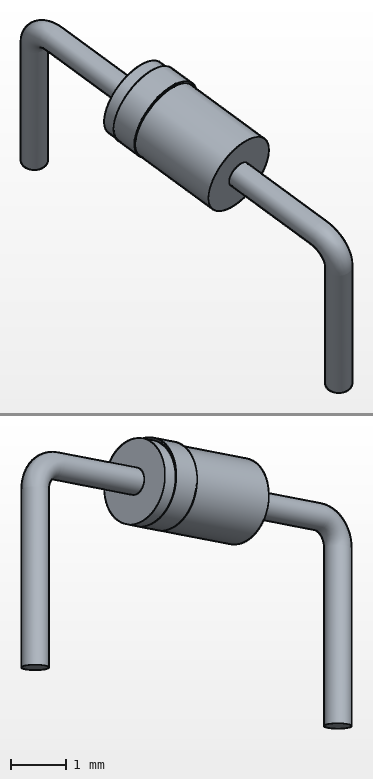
import cadquery as cq

overall_length = 8.12
overall_height = 4.63
lead_diameter = 0.5
bend_radius = lead_diameter
body_diameter = 1.58
body_length = 2.615
band_diameter = 1.63
band_width = 0.2 * body_length
band_inset = 0.1 * body_length
band_lift = (band_diameter - body_diameter) / 2

lead_x = (overall_length - lead_diameter) / 2
lead_bottom = band_lift + band_diameter / 2 - overall_height
body_start = -body_length / 2


def cylinder_along_x(start, length, diameter, axis_height=0):
    profile = cq.Workplane("YZ", origin=(start, 0, axis_height)).circle(diameter / 2)
    return profile.extrude(length)


def bent_lead(side):
    """Lead from the middle of the body to its tip; side is -1 or +1 along X."""
    outer_x = side * lead_x
    bend_start = side * (lead_x - bend_radius)
    path = (
        cq.Workplane("XZ")
        .lineTo(bend_start, 0)
        .tangentArcPoint((outer_x, -bend_radius), relative=False)
        .lineTo(outer_x, lead_bottom)
    )
    return cq.Workplane("YZ").circle(lead_diameter / 2).sweep(path)


body = cylinder_along_x(body_start, body_length, body_diameter)
band = cylinder_along_x(body_start + band_inset, band_width, band_diameter, band_lift)

result = body.union(band).union(bent_lead(-1)).union(bent_lead(1))